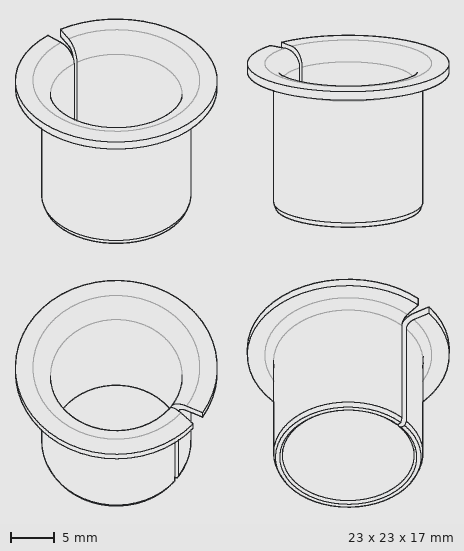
import cadquery as cq
import math

height = 17.0
flange_radius = 11.5
tube_radius = 8.5
wall = 1.0
outer_bend_radius = 0.99
inner_bend_radius = outer_bend_radius + wall
lead_in_height = 0.6
lead_in_angle = 20.0
bore_chamfer = 0.3
slot_half_angle = 10.0
slot_apex = 6.37

bore_radius = tube_radius - wall
flange_underside = height - wall
lead_in_depth = lead_in_height * math.tan(math.radians(lead_in_angle))
bend_center_r = tube_radius + outer_bend_radius
bend_center_z = flange_underside - outer_bend_radius


def bend_middle(radius):
    """Midpoint of a bend arc, as (radius, height)."""
    offset = radius * math.sqrt(0.5)
    return bend_center_r - offset, bend_center_z + offset


def make_bushing():
    """Revolve the constant-thickness wall that curls out into the flange."""
    return (
        cq.Workplane("XZ")
        .moveTo(bore_radius, bore_chamfer)
        .lineTo(bore_radius + bore_chamfer, 0)
        .lineTo(tube_radius - lead_in_depth, 0)
        .lineTo(tube_radius, lead_in_height)
        .lineTo(tube_radius, bend_center_z)
        .threePointArc(bend_middle(outer_bend_radius), (bend_center_r, flange_underside))
        .lineTo(flange_radius, flange_underside)
        .lineTo(flange_radius, height)
        .lineTo(bend_center_r, height)
        .threePointArc(bend_middle(inner_bend_radius), (bore_radius, bend_center_z))
        .close()
        .revolve(360, (0, 0), (0, 1))
        .rotate((0, 0, 0), (0, 0, 1), 180)
    )


def make_slot():
    """Wedge that splits the -X side over the full height."""
    reach = flange_radius + wall
    half_width = (reach - slot_apex) * math.tan(math.radians(slot_half_angle))
    return (
        cq.Workplane("XY")
        .polyline([(-slot_apex, 0), (-reach, half_width), (-reach, -half_width)])
        .close()
        .extrude(height)
    )


result = make_bushing().cut(make_slot())